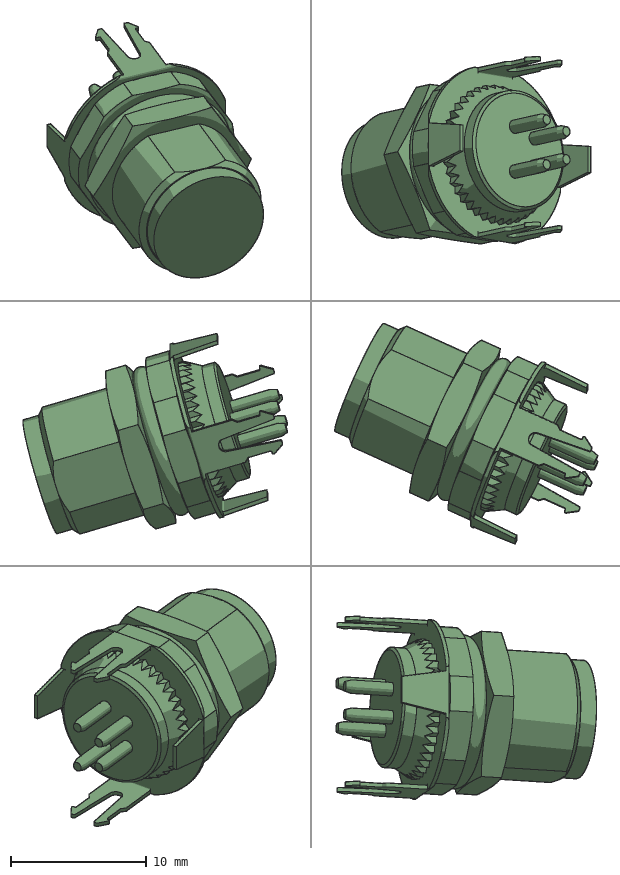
import cadquery as cq
import math

total_length = 18.6

pin_centres = [(0.46, 1.7), (0.46, -1.7), (-1.47, 1.06), (-1.47, -1.06)]
pin_radius = 0.5
pin_tip_radius = 0.35
pin_tip_length = 0.5

rear_face_x = 3.63
rear_radius = 4.48
rear_chamfer_radial = 0.22
rear_chamfer_axial = 0.15
cone_start_x = 4.69
cone_end_x = 5.97
knurl_tip_radius = 5.2
knurl_root_radius = 4.9
knurl_teeth = 40

sheet_thickness = 0.3
bracket_front_x = 6.64
bracket_rear_x = bracket_front_x - sheet_thickness
bracket_size_y = 12.87
bracket_size_z = 12.8
bracket_radius = 6.71
bend_outer_radius = 0.22
bend_inner_radius = 0.11

side_tab_end_x = 2.94
side_tab_root_half = 1.62
side_tab_end_half = 0.99

fork_end_x = 0.19
fork_root_half = 1.7
fork_neck_half = 1.41
fork_shoulder_x = 3.22
fork_neck_x = 2.9
fork_barb_base_x = 1.13
fork_barb_crest_x = 0.97
fork_tip_half = 1.19
fork_slot_mouth_half = 0.87
fork_slot_inner_half = 0.5
fork_slot_arc_x = 4.3
fork_slot_end_x = 4.76
fork_corner_radius = 0.07

flange_front_x = 8.61
flange_inradius = 5.95
flange_radius = 6.25
flange_chamfer_axial = 0.1
flange_chamfer_radial = 0.3

nut_rear_x = 9.82
nut_front_x = 11.83
nut_inradius = 5.5
nut_chamfer_angle = 15.0

ring_section_radius = 0.61
ring_outer_radius = 5.73
ring_x = (flange_front_x + nut_rear_x) / 2

sleeve_radius = 4.91
sleeve_flat_half = 4.46
sleeve_front_x = 17.35
sleeve_chamfer_axial = 0.39
sleeve_chamfer_radial = 0.43
mating_radius = 4.4


def revolve_about_x(profile):
    """Revolve a closed (x, radius) profile about the X axis."""
    return cq.Workplane("XY").polyline(profile).close().revolve(360, (0, 0, 0), (1, 0, 0))


def cylinder_x(start_x, end_x, radius):
    return cq.Workplane("YZ", origin=(start_x, 0, 0)).circle(radius).extrude(end_x - start_x)


def chamfered_cylinder(start_x, end_x, radius, chamfer_axial, chamfer_radial):
    """Cylinder along X with the same conical chamfer on both rims."""
    return revolve_about_x([
        (start_x, 0),
        (start_x, radius - chamfer_radial),
        (start_x + chamfer_axial, radius),
        (end_x - chamfer_axial, radius),
        (end_x, radius - chamfer_radial),
        (end_x, 0),
    ])


def hexagon_x(start_x, end_x, inradius):
    """Hexagonal prism along X with flats facing +Z and -Z."""
    across_corners = 2 * inradius / math.cos(math.pi / 6)
    end_face = cq.Workplane("YZ", origin=(start_x, 0, 0)).polygon(6, across_corners)
    return end_face.extrude(end_x - start_x)


def make_pin(y, z):
    pin = revolve_about_x([
        (0, 0),
        (0, pin_tip_radius),
        (pin_tip_length, pin_radius),
        (cone_start_x, pin_radius),
        (cone_start_x, 0),
    ])
    return pin.translate((0, y, z))


def make_knurl_prism():
    """Star-shaped prism whose teeth form the knurl; a root lies on +Z."""
    half_pitch = math.pi / knurl_teeth
    outline = []
    for i in range(2 * knurl_teeth):
        angle = math.pi / 2 + i * half_pitch
        radius = knurl_tip_radius if i % 2 else knurl_root_radius
        outline.append((radius * math.cos(angle), radius * math.sin(angle)))
    length = bracket_front_x - rear_face_x
    return cq.Workplane("YZ", origin=(rear_face_x, 0, 0)).polyline(outline).close().extrude(length)


def make_rear_body():
    turned = revolve_about_x([
        (rear_face_x, 0),
        (rear_face_x, rear_radius - rear_chamfer_radial),
        (rear_face_x + rear_chamfer_axial, rear_radius),
        (cone_start_x, rear_radius),
        (cone_end_x, knurl_tip_radius),
        (bracket_front_x, knurl_tip_radius),
        (bracket_front_x, 0),
    ])
    return turned.intersect(make_knurl_prism())


def make_side_tab():
    """Tapered tab on the -Y side."""
    return (
        cq.Workplane("XZ", origin=(0, -bracket_size_y / 2 + sheet_thickness, 0))
        .polyline([
            (side_tab_end_x, -side_tab_end_half),
            (bracket_rear_x, -side_tab_root_half),
            (bracket_rear_x, side_tab_root_half),
            (side_tab_end_x, side_tab_end_half),
        ])
        .close()
        .extrude(sheet_thickness)
    )


def make_fork_tab():
    """Forked tab with two barbed prongs on the +Z side."""
    upper_side = [
        (bracket_rear_x, fork_root_half),
        (fork_shoulder_x, fork_root_half),
        (fork_neck_x, fork_neck_half),
        (fork_barb_base_x, fork_neck_half),
        (fork_barb_base_x, fork_root_half),
        (fork_barb_crest_x, fork_root_half),
        (fork_end_x, fork_tip_half),
        (fork_end_x, fork_slot_mouth_half),
        (fork_slot_arc_x, fork_slot_inner_half),
    ]
    lower_side = [(x, -y) for x, y in reversed(upper_side)]
    outline = cq.Workplane("XY", origin=(0, 0, bracket_size_z / 2 - sheet_thickness))
    outline = outline.polyline(upper_side).threePointArc((fork_slot_end_x, 0), lower_side[0])
    for point in lower_side[1:]:
        outline = outline.lineTo(*point)
    fork = outline.close().extrude(sheet_thickness)
    prong_zone = cq.selectors.BoxSelector(
        (0, -bracket_size_y, 0),
        (fork_shoulder_x + fork_corner_radius, bracket_size_y, bracket_size_z),
    )
    return fork.edges("|Z").edges(prong_zone).fillet(fork_corner_radius)


def make_bracket():
    """Disc with four flats, each flat carrying a tab bent back towards the pins."""
    bracket = (
        cq.Workplane("XY")
        .box(sheet_thickness, bracket_size_y, bracket_size_z)
        .translate((bracket_rear_x + sheet_thickness / 2, 0, 0))
        .faces(">X")
        .edges()
        .fillet(bend_outer_radius)
        .intersect(cylinder_x(bracket_rear_x, bracket_front_x, bracket_radius))
    )
    for tab in (make_side_tab(), make_fork_tab()):
        bracket = bracket.union(tab).union(tab.rotate((0, 0, 0), (1, 0, 0), 180))

    inside_y = bracket_size_y / 2 - sheet_thickness
    inside_z = bracket_size_z / 2 - sheet_thickness
    for y, z in [(inside_y, 0), (-inside_y, 0), (0, inside_z), (0, -inside_z)]:
        inside_corner = cq.NearestToPointSelector((bracket_rear_x, y, z))
        bracket = bracket.edges(inside_corner).fillet(bend_inner_radius)
    return bracket


def make_flange():
    envelope = chamfered_cylinder(
        bracket_front_x, flange_front_x, flange_radius, flange_chamfer_axial, flange_chamfer_radial
    )
    return hexagon_x(bracket_front_x, flange_front_x, flange_inradius).intersect(envelope)


def make_ring():
    centre_radius = ring_outer_radius - ring_section_radius
    torus = cq.Solid.makeTorus(centre_radius, ring_section_radius, cq.Vector(ring_x, 0, 0), cq.Vector(1, 0, 0))
    return cq.Workplane(torus)


def make_nut():
    corner_radius = nut_inradius / math.cos(math.pi / 6)
    chamfer_axial = (corner_radius - nut_inradius) * math.tan(math.radians(nut_chamfer_angle))
    envelope = chamfered_cylinder(
        nut_rear_x, nut_front_x, corner_radius, chamfer_axial, corner_radius - nut_inradius
    )
    return hexagon_x(nut_rear_x, nut_front_x, nut_inradius).intersect(envelope)


def make_sleeve():
    turned = revolve_about_x([
        (bracket_front_x, 0),
        (bracket_front_x, sleeve_radius),
        (sleeve_front_x - sleeve_chamfer_axial, sleeve_radius),
        (sleeve_front_x, sleeve_radius - sleeve_chamfer_radial),
        (sleeve_front_x, 0),
    ])
    flats = cq.Workplane("XY").box(2 * total_length, 2 * sleeve_radius, 2 * sleeve_flat_half)
    return turned.intersect(flats)


result = make_rear_body()
for pin_y, pin_z in pin_centres:
    result = result.union(make_pin(pin_y, pin_z))
for component in (
    make_bracket(),
    make_flange(),
    make_sleeve(),
    make_ring(),
    make_nut(),
    cylinder_x(sleeve_front_x, total_length, mating_radius),
):
    result = result.union(component)